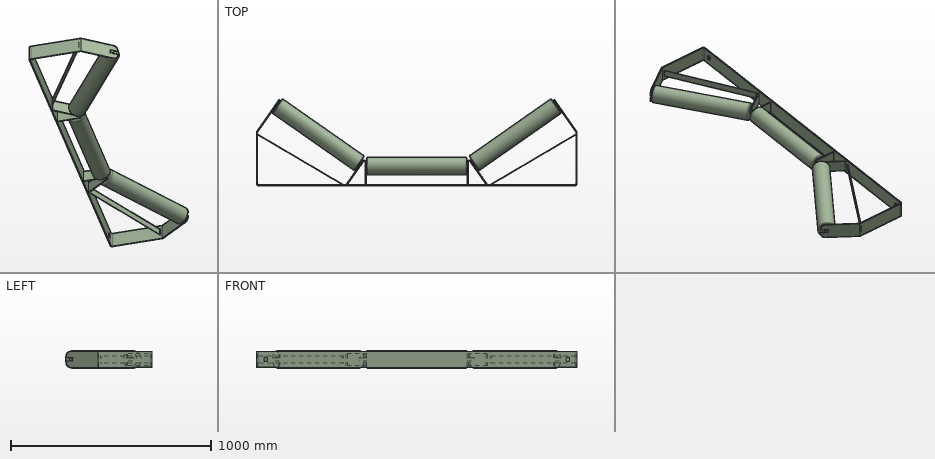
import cadquery as cq
import math

strip_width = 80.0
strip_thickness = 6.0
bend_inner_radius = 5.0
bend_outer_radius = bend_inner_radius + strip_thickness

frame_length = 1600.0
side_height = 269.5
wing_length = 197.0
wing_corner_radius = 25.0
bolt_hole_width = 18.0
bolt_hole_height = 23.0
bolt_hole_inset = 46.0

trough_angle = 35.0
overall_height = 433.18
roller_diameter = 89.0
roller_length = 500.0
roller_edge_radius = 5.0
shaft_diameter = 17.0
wing_end_gap = 5.5
centre_end_gap = 1.0
centre_roller_height = 98.5

bracket_width = 60.0

brace_width = 35.0
brace_thickness = 3.0
brace_angle = 30.5
brace_top_height = 258.0

half_frame = frame_length / 2
half_roller = roller_length / 2
roller_radius = roller_diameter / 2
angle = math.radians(trough_angle)

axis_dir = cq.Vector(math.cos(angle), -math.sin(angle), 0)
plate_dir = cq.Vector(math.sin(angle), math.cos(angle), 0)
x_dir = cq.Vector(1, 0, 0)
z_dir = cq.Vector(0, 0, 1)

wing_bend = cq.Vector(-half_frame, side_height, 0)
edge_reach = (
    (half_roller - roller_edge_radius) * math.sin(angle)
    + (roller_radius - roller_edge_radius) * math.cos(angle)
    + roller_edge_radius
)
wing_roller_y = overall_height - edge_reach
wing_face_to_middle = strip_thickness + wing_end_gap + half_roller
wing_axis_distance = (
    wing_roller_y - wing_bend.y - wing_face_to_middle * axis_dir.y
) / plate_dir.y
wing_roller_middle = wing_bend + axis_dir * wing_face_to_middle + plate_dir * wing_axis_distance
centre_roller_middle = cq.Vector(0, centre_roller_height, 0)


def extrude_strip(points, width):
    """Extrude an XY outline by a width centred on Z = 0."""
    outline = cq.Workplane("XY").polyline([(p.x, p.y) for p in points]).close()
    return outline.extrude(width / 2, both=True)


def edge_near(body, point):
    return body.edges(cq.selectors.NearestToPointSelector(point.toTuple()))


def round_bend(body, inner_corner, outer_corner):
    """Round the two Z edges of one bend in a strip."""
    body = edge_near(body, inner_corner).fillet(bend_inner_radius)
    return edge_near(body, outer_corner).fillet(bend_outer_radius)


def mirrored(body):
    return body.mirror("YZ")


def make_roller(middle, direction, end_gap):
    """Roller with rounded end edges and a shaft flush with the outside of its two plates."""
    shaft_length = roller_length + 2 * (end_gap + strip_thickness)

    def cylinder(diameter, length):
        plane = cq.Plane(origin=middle - direction * (length / 2), xDir=z_dir, normal=direction)
        return cq.Workplane(plane).circle(diameter / 2).extrude(length)

    barrel = cylinder(roller_diameter, roller_length).edges().fillet(roller_edge_radius)
    return barrel.union(cylinder(shaft_diameter, shaft_length))


def shaft_slot(middle, direction, end_gap, end):
    """Cutter for the open slot at one end (-1 or 1) of a roller, square at the shaft's underside."""
    slot_height = 2 * roller_diameter
    up = z_dir.cross(direction)
    start = middle + direction * (end * (half_roller + end_gap))
    plane = cq.Plane(origin=start, xDir=up, normal=direction * end)
    slot = cq.Workplane(plane).center((slot_height - shaft_diameter) / 2, 0)
    return slot.rect(slot_height, shaft_diameter).extrude(strip_thickness)


def make_frame():
    thickness = strip_thickness
    base_outer = cq.Vector(-half_frame, 0, 0)
    base_inner = cq.Vector(-half_frame + thickness, thickness, 0)
    wing_inner_bend = wing_bend + cq.Vector(thickness, -thickness * math.tan(angle / 2), 0)
    tip_outer = wing_bend + plate_dir * wing_length
    tip_inner = tip_outer + axis_dir * thickness
    left = extrude_strip(
        [
            cq.Vector(0, 0, 0),
            base_outer,
            wing_bend,
            tip_outer,
            tip_inner,
            wing_inner_bend,
            base_inner,
            cq.Vector(0, thickness, 0),
        ],
        strip_width,
    )
    for side in (-1, 1):
        corner = (tip_outer + tip_inner) * 0.5 + z_dir * (side * strip_width / 2)
        left = edge_near(left, corner).fillet(wing_corner_radius)
    left = round_bend(left, base_inner, base_outer)
    left = left.cut(shaft_slot(wing_roller_middle, axis_dir, wing_end_gap, -1))
    bolt_hole = (
        cq.Workplane("XZ")
        .center(-half_frame + bolt_hole_inset, 0)
        .slot2D(bolt_hole_height, bolt_hole_width, 90)
        .extrude(-thickness)
    )
    left = left.cut(bolt_hole)
    return left.union(mirrored(left))


def make_bracket():
    """Left bracket: a leaning plate for the wing roller bent into an upright for the centre roller."""
    thickness = strip_thickness
    lean_face = wing_roller_middle + axis_dir * (half_roller + wing_end_gap)
    upright_x = -half_roller - centre_end_gap

    def on_lean(point, y):
        return point + plate_dir * ((y - point.y) / plate_dir.y)

    def lean_at_x(point, x):
        return point + plate_dir * ((x - point.x) / plate_dir.x)

    lean_back = lean_face + axis_dir * thickness
    apex_outer = lean_at_x(lean_face, upright_x)
    apex_inner = lean_at_x(lean_back, upright_x - thickness)
    bracket = extrude_strip(
        [
            on_lean(lean_face, thickness),
            apex_outer,
            cq.Vector(upright_x, thickness, 0),
            cq.Vector(upright_x - thickness, thickness, 0),
            apex_inner,
            on_lean(lean_back, thickness),
        ],
        bracket_width,
    )
    bracket = round_bend(bracket, apex_inner, apex_outer)
    bracket = bracket.cut(shaft_slot(wing_roller_middle, axis_dir, wing_end_gap, 1))
    return bracket.cut(shaft_slot(centre_roller_middle, x_dir, centre_end_gap, -1))


def make_brace():
    """Left brace: a narrow flat bar from the upright side down to the base."""
    slope = math.radians(brace_angle)
    wall_x = -half_frame + strip_thickness
    foot_x = wall_x + (brace_top_height - strip_thickness) / math.tan(slope)
    return extrude_strip(
        [
            cq.Vector(wall_x, brace_top_height, 0),
            cq.Vector(foot_x, strip_thickness, 0),
            cq.Vector(foot_x - brace_thickness / math.sin(slope), strip_thickness, 0),
            cq.Vector(wall_x, brace_top_height - brace_thickness / math.cos(slope), 0),
        ],
        brace_width,
    )


frame = make_frame()
centre_roller = make_roller(centre_roller_middle, x_dir, centre_end_gap)
left_roller = make_roller(wing_roller_middle, axis_dir, wing_end_gap)
left_bracket = make_bracket()
left_brace = make_brace()

bodies = [*frame.solids().vals(), *centre_roller.solids().vals()]
for left_body in (left_roller, left_bracket, left_brace):
    bodies += left_body.solids().vals()
    bodies += mirrored(left_body).solids().vals()

result = cq.Compound.makeCompound(bodies)